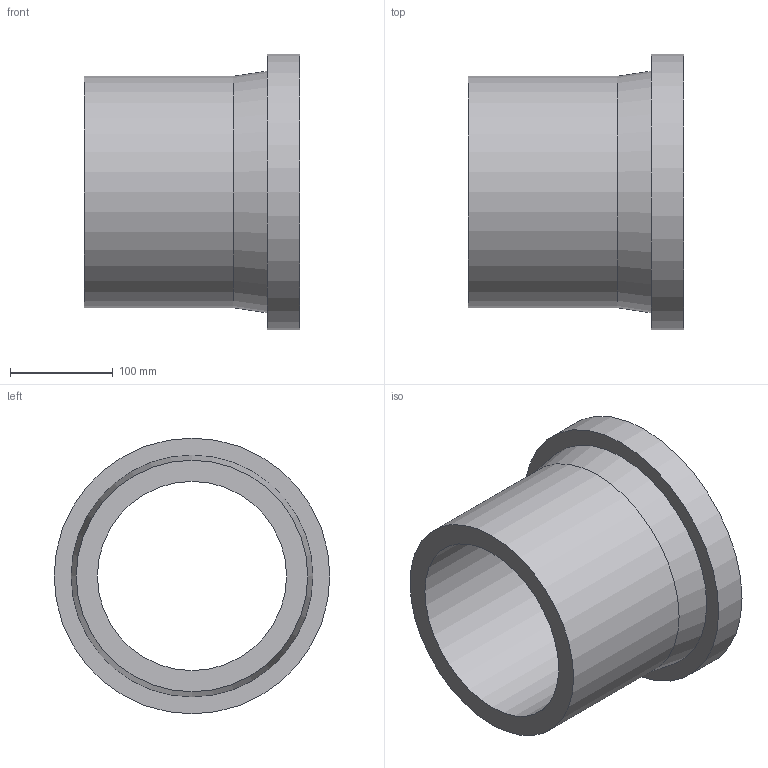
import cadquery as cq

total_length = 210.0
flange_thickness = 32.0
shoulder_length = 33.0

bore_diameter = 184.0
pipe_diameter = 225.0
shoulder_diameter = 235.0
flange_diameter = 268.0

flange_start = total_length - flange_thickness
shoulder_start = flange_start - shoulder_length


def make_stub_end():
    """Revolve the half section of the pipe wall, shoulder and flange about X."""
    bore_radius = bore_diameter / 2
    pipe_radius = pipe_diameter / 2
    shoulder_radius = shoulder_diameter / 2
    flange_radius = flange_diameter / 2

    half_section = (
        cq.Workplane("XY")
        .moveTo(0, bore_radius)
        .lineTo(0, pipe_radius)
        .lineTo(shoulder_start, pipe_radius)
        .lineTo(flange_start, shoulder_radius)
        .lineTo(flange_start, flange_radius)
        .lineTo(total_length, flange_radius)
        .lineTo(total_length, bore_radius)
        .close()
    )
    return half_section.revolve(360, (0, 0, 0), (1, 0, 0))


result = make_stub_end()